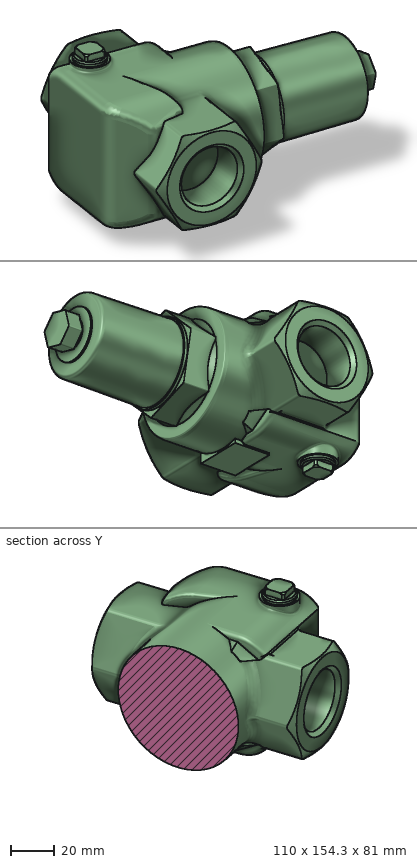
import cadquery as cq
import math


MARGIN = 0.1

HALF_SECTOR = 30.0

PORT_LENGTH = 110.0
PORT_FLATS = 50.0
PORT_EDGE_RADIUS = 2.4
PORT_FACE_DIAMETER = 48.2
PORT_CHAMFER_ANGLE = 30.0
BORE_DIAMETER = 30.3
BORE_MOUTH_DIAMETER = 34.6
BORE_DEPTH = 20.0

BODY_DIAMETER = 65.0
BODY_RADIUS = BODY_DIAMETER / 2
BODY_TOP = 42.2
RIM_HEIGHT = 2.3
RIM_INSET = 0.3
RIM_EDGE_RADIUS = 0.9
FLOOR = -38.4
OVERALL_LENGTH = 154.26
OVERALL_HEIGHT = 81.0
CHAMBER_CORE_END = -15.0
CHAMBER_EDGE_RADIUS = 5.0
DOME_MID_REACH = 0.60
DOME_MID_RISE = 0.70
CROTCH_RADIUS = 5.0

INLET_FLAT_X = -18.2
INLET_WALL_X = -32.5
INLET_WALL_Z = 25.5
INLET_TOP = 15.6
INLET_SHOULDER_RADIUS = 3.0
FLARE_RADIUS = 3.0
FLARE_TOP = 11.6
RAMP_TOP = 21.2
RAMP_ROOT_Z = 23.0
RAMP_ROOT_X = -29.5

OUTLET_FLAT_X = 18.0
OUTLET_WALL_X = 38.5
OUTLET_WALL_Z = 22.0
OUTLET_HEEL_RADIUS = 12.0
OUTLET_RAMP_ANGLE = 48.0
OUTLET_CORNER_RADIUS = 5.0
OUTLET_SHOULDER_X = 33.0
OUTLET_TOP_AT_AXIS = -13.0
OUTLET_TOP_AT_WALL = -1.5
OUTLET_SHOULDER_RADIUS = 2.0

BONNET_HEX_FLATS = 46.0
BONNET_HEX_EDGE_RADIUS = 0.6
BONNET_HEX_TOP = 56.7
BONNET_HEX_TURN = -17.8
SKIRT_RADIUS = 26.0
SKIRT_HEIGHT = 2.3
COLLAR_RADIUS = 22.6
COLLAR_TOP = 58.4
CAP_BASE_RADIUS = 21.75
CAP_TOP_RADIUS = 21.2
CAP_TOP = 105.4
CAP_EDGE_RADIUS = 2.0

WASHER_RADIUS = 13.6
WASHER_TOP = 106.3
NECK_RADIUS = 7.5
NECK_TOP = 107.9
SCREW_FLATS = 17.0
SCREW_TOP = FLOOR + OVERALL_LENGTH
SCREW_TURN = 13.7
SCREW_EDGE_RADIUS = 1.3

PLUG_X = -19.0
PLUG_Y = -22.0
PLUG_BOSS_DIAMETER = 19.0
PLUG_BOSS_TOP = 35.0
PLUG_COLLAR_DIAMETER = 16.5
PLUG_COLLAR_CHAMFER = 0.75
PLUG_COLLAR_TOP = 37.0
PLUG_SQUARE = 11.0
PLUG_CORNER_DIAMETER = 14.2
PLUG_TOP = OVERALL_HEIGHT / 2
PLUG_CORNER_CHAMFER = 0.8
PLUG_ROOT = 20.0
PLUG_FILLET = 1.5

PAD_X = (-9.4, 16.9)
PAD_Y = (-1.0, 19.0)
PAD_Z = 33.4


def cylinder_y(radius, start, end):
    return cq.Workplane("XZ", origin=(0, start, 0)).circle(radius).extrude(start - end)


def cone_y(radius_start, radius_end, start, end):
    outline = [(0, start), (radius_start, start), (radius_end, end), (0, end)]
    return cq.Workplane("XY").polyline(outline).close().revolve(360, (0, 0), (0, 1))


def hexagon_y(flats, edge_radius, turn, start, end):
    """Hexagonal prism along Y; turn is the angle from +X toward +Z of one corner."""
    corners = flats / math.cos(math.radians(HALF_SECTOR))
    prism = cq.Workplane("XZ").polygon(6, corners).extrude(start - end)
    prism = prism.edges("|Y").fillet(edge_radius)
    return prism.rotate((0, 0, 0), (0, 1, 0), -turn).translate((0, start, 0))


def port_hexagon():
    corners = PORT_FLATS / math.cos(math.radians(HALF_SECTOR))
    half = PORT_LENGTH / 2
    prism = cq.Workplane("YZ").polygon(6, corners).extrude(half, both=True)
    prism = prism.edges("|X").fillet(PORT_EDGE_RADIUS)
    face_radius = PORT_FACE_DIAMETER / 2
    rise = corners / 2 - face_radius
    shoulder = half - rise * math.tan(math.radians(PORT_CHAMFER_ANGLE))
    outline = [
        (-half, 0),
        (-half, face_radius),
        (-shoulder, corners / 2),
        (shoulder, corners / 2),
        (half, face_radius),
        (half, 0),
    ]
    turned = cq.Workplane("XY").polyline(outline).close().revolve(360, (0, 0), (1, 0))
    return prism.intersect(turned)


def port_bore(side):
    """Blind bore with a chamfered mouth; side is -1 for -X and +1 for +X."""
    half = PORT_LENGTH / 2
    radius = BORE_DIAMETER / 2
    mouth = BORE_MOUTH_DIAMETER / 2
    outline = [
        (side * half, 0),
        (side * half, mouth),
        (side * (half - (mouth - radius)), radius),
        (side * (half - BORE_DEPTH), radius),
        (side * (half - BORE_DEPTH), 0),
    ]
    return cq.Workplane("XY").polyline(outline).close().revolve(360, (0, 0), (1, 0))


def chamber_section(flat_x, wall_x, wall_z, top):
    """Half of the chamber, domed between the flat crown and the side wall."""
    mid_x = flat_x + DOME_MID_REACH * (wall_x - flat_x)
    mid_z = wall_z + DOME_MID_RISE * (BODY_RADIUS - wall_z)
    return (
        cq.Workplane("XZ", origin=(0, FLOOR, 0))
        .moveTo(0, BODY_RADIUS)
        .lineTo(flat_x, BODY_RADIUS)
        .threePointArc((mid_x, mid_z), (wall_x, wall_z))
        .lineTo(wall_x, -wall_z)
        .threePointArc((mid_x, -mid_z), (flat_x, -BODY_RADIUS))
        .lineTo(0, -BODY_RADIUS)
        .close()
        .extrude(FLOOR - top)
    )


def edges_within(shape, low, high):
    return shape.edges(cq.selectors.BoxSelector(low, high, boundingbox=True))


def barrel():
    """Upright cylinder and port hexagon, blended where they cross, above the chamber."""
    cylinder = cylinder_y(BODY_RADIUS, -BODY_TOP, BODY_TOP - RIM_HEIGHT)
    crossing = cylinder.union(port_hexagon())
    reach = BODY_RADIUS + MARGIN
    half_flats = PORT_FLATS / 2 + MARGIN
    seams = edges_within(crossing, (-reach, -reach, -half_flats), (reach, reach, half_flats))
    blended = seams.fillet(CROTCH_RADIUS)
    upper = cq.Workplane("XZ", origin=(0, CHAMBER_CORE_END, 0))
    upper = upper.rect(2 * PORT_LENGTH, 2 * PORT_LENGTH).extrude(-PORT_LENGTH)
    return blended.intersect(upper)


def inlet_chamber():
    return chamber_section(INLET_FLAT_X, INLET_WALL_X, INLET_WALL_Z, INLET_TOP)


def inlet_flare():
    """Fillet that carries the inlet hexagon into the side wall of the chamber."""
    wall = cq.Workplane("YZ", origin=(INLET_WALL_X, 0, 0)).rect(2 * PORT_LENGTH, 2 * PORT_LENGTH)
    joined = wall.extrude(2 * FLARE_RADIUS).union(port_hexagon())
    seam = edges_within(
        joined,
        (INLET_WALL_X - MARGIN, -PORT_FLATS, -PORT_FLATS),
        (INLET_WALL_X + MARGIN, PORT_FLATS, PORT_FLATS),
    )
    bottom = FLOOR + CHAMBER_EDGE_RADIUS
    kept = cq.Workplane("XY").box(3 * FLARE_RADIUS, FLARE_TOP - bottom, 2 * INLET_WALL_Z)
    kept = kept.translate((INLET_WALL_X, (FLARE_TOP + bottom) / 2, 0))
    return seam.fillet(FLARE_RADIUS).intersect(kept)


def inlet_ramp(side):
    """Slope from the inlet shoulder down to the cylinder; side is +1 for +Z, -1 for -Z."""
    crown = BODY_RADIUS - INLET_SHOULDER_RADIUS
    foot_crown = math.sqrt(BODY_RADIUS**2 - INLET_FLAT_X**2)
    foot_x = -math.sqrt(BODY_RADIUS**2 - RAMP_ROOT_Z**2)
    start = [(0, RAMP_ROOT_Z), (0, crown), (INLET_FLAT_X, crown), (RAMP_ROOT_X, RAMP_ROOT_Z)]
    foot = [(0, RAMP_ROOT_Z), (0, foot_crown), (INLET_FLAT_X, foot_crown), (foot_x, RAMP_ROOT_Z)]
    ramp = (
        cq.Workplane("XZ", origin=(0, INLET_TOP, 0))
        .polyline(start)
        .close()
        .workplane(offset=INLET_TOP - RAMP_TOP)
        .polyline(foot)
        .close()
        .loft(ruled=True)
    )
    return ramp if side > 0 else ramp.mirror("XY")


def outlet_chamber():
    """Outlet half: a rounded heel and a slanted end wall in plan, domed across."""
    block = chamber_section(OUTLET_FLAT_X, OUTLET_WALL_X, OUTLET_WALL_Z, OUTLET_TOP_AT_WALL)
    turn = math.radians(OUTLET_RAMP_ANGLE)
    centre_y = FLOOR + OUTLET_HEEL_RADIUS
    heel_end = (
        OUTLET_FLAT_X + OUTLET_HEEL_RADIUS * math.sin(turn),
        centre_y - OUTLET_HEEL_RADIUS * math.cos(turn),
    )
    heel_mid = (
        OUTLET_FLAT_X + OUTLET_HEEL_RADIUS * math.sin(turn / 2),
        centre_y - OUTLET_HEEL_RADIUS * math.cos(turn / 2),
    )
    ramp_end = (
        OUTLET_WALL_X,
        heel_end[1] + (OUTLET_WALL_X - heel_end[0]) * math.tan(turn),
    )
    plan = (
        cq.Workplane("XY", origin=(0, 0, -BODY_RADIUS))
        .moveTo(0, FLOOR)
        .lineTo(OUTLET_FLAT_X, FLOOR)
        .threePointArc(heel_mid, heel_end)
        .lineTo(*ramp_end)
        .lineTo(OUTLET_SHOULDER_X, OUTLET_TOP_AT_WALL)
        .lineTo(0, OUTLET_TOP_AT_AXIS)
        .close()
        .extrude(BODY_DIAMETER)
    )
    plan = plan.edges("|Z and >X").fillet(OUTLET_CORNER_RADIUS)
    return block.intersect(plan)


def chambers():
    """Both chamber halves with rounded floor, inlet shoulder and outlet top edges."""
    block = inlet_chamber().union(outlet_chamber())
    block = block.faces("<Y").edges().fillet(CHAMBER_EDGE_RADIUS)
    block = block.faces(">Y").edges("not >X").fillet(INLET_SHOULDER_RADIUS)
    slope_edges = [
        edge
        for edge in edges_within(
            block,
            (-MARGIN, OUTLET_TOP_AT_AXIS - MARGIN, -BODY_RADIUS - MARGIN),
            (OUTLET_WALL_X, OUTLET_TOP_AT_WALL + MARGIN, BODY_RADIUS + MARGIN),
        ).vals()
        if abs(edge.Center().z) > OUTLET_WALL_Z
    ]
    return block.newObject(slope_edges).fillet(OUTLET_SHOULDER_RADIUS)


def pad():
    width = PAD_X[1] - PAD_X[0]
    length = PAD_Y[1] - PAD_Y[0]
    block = cq.Workplane("XY").box(width, length, PAD_Z, centered=False)
    return block.translate((PAD_X[0], PAD_Y[0], -PAD_Z))


def disc(diameter, start, end):
    return cq.Workplane("XY", origin=(0, 0, start)).circle(diameter / 2).extrude(end - start)


def on_side(shape, side):
    """Place a shape built on the Z axis at the plug position, on +Z or -Z."""
    placed = shape.translate((PLUG_X, PLUG_Y, 0))
    return placed if side > 0 else placed.mirror("XY")


def add_plug_boss(block, side):
    """Round boss with a fillet around its foot."""
    block = block.union(on_side(disc(PLUG_BOSS_DIAMETER, PLUG_ROOT, PLUG_BOSS_TOP), side))
    reach = PLUG_BOSS_DIAMETER / 2 + MARGIN
    below_rim = PLUG_BOSS_TOP - MARGIN
    heights = sorted((side * PLUG_ROOT, side * below_rim))
    foot = edges_within(
        block,
        (PLUG_X - reach, PLUG_Y - reach, heights[0]),
        (PLUG_X + reach, PLUG_Y + reach, heights[1]),
    )
    return foot.fillet(PLUG_FILLET)


def plug(side):
    """Screwed plug with a round collar and a square head with rounded, chamfered corners."""
    collar = disc(PLUG_COLLAR_DIAMETER, PLUG_BOSS_TOP, PLUG_COLLAR_TOP)
    collar = collar.faces(">Z").chamfer(PLUG_COLLAR_CHAMFER)
    head = cq.Workplane("XY").rect(PLUG_SQUARE, PLUG_SQUARE).extrude(PLUG_TOP)
    corner_limit = disc(PLUG_CORNER_DIAMETER, PLUG_COLLAR_TOP, PLUG_TOP)
    head = head.intersect(corner_limit.faces(">Z").chamfer(PLUG_CORNER_CHAMFER))
    return on_side(collar.union(head), side)


def bonnet():
    """Rim, hexagon with its skirt, collar and tapered cap."""
    rim = cone_y(BODY_RADIUS, BODY_RADIUS - RIM_INSET, BODY_TOP - RIM_HEIGHT, BODY_TOP)
    rim = rim.faces(">Y").edges().fillet(RIM_EDGE_RADIUS)
    hexagon = hexagon_y(
        BONNET_HEX_FLATS, BONNET_HEX_EDGE_RADIUS, BONNET_HEX_TURN, BODY_TOP, BONNET_HEX_TOP
    )
    skirt = cone_y(SKIRT_RADIUS, BONNET_HEX_FLATS / 2, BODY_TOP, BODY_TOP + SKIRT_HEIGHT)
    collar = cylinder_y(COLLAR_RADIUS, BONNET_HEX_TOP, COLLAR_TOP)
    cap = cone_y(CAP_BASE_RADIUS, CAP_TOP_RADIUS, COLLAR_TOP, CAP_TOP)
    cap = cap.faces(">Y").edges().fillet(CAP_EDGE_RADIUS)
    return rim.union(hexagon).union(skirt).union(collar).union(cap)


def adjusting_screw():
    washer = cylinder_y(WASHER_RADIUS, CAP_TOP, WASHER_TOP)
    neck = cylinder_y(NECK_RADIUS, WASHER_TOP, NECK_TOP)
    head = hexagon_y(SCREW_FLATS, SCREW_EDGE_RADIUS, SCREW_TURN, NECK_TOP, SCREW_TOP)
    return washer.union(neck).union(head)


SIDES = (-1, 1)

casting = chambers()
for side in SIDES:
    casting = add_plug_boss(casting, side)
casting = casting.union(inlet_flare()).union(barrel())
for side in SIDES:
    casting = casting.union(inlet_ramp(side))
casting = casting.union(port_hexagon()).union(pad())

result = casting.union(bonnet()).union(adjusting_screw())
for side in SIDES:
    result = result.union(plug(side)).cut(port_bore(side))